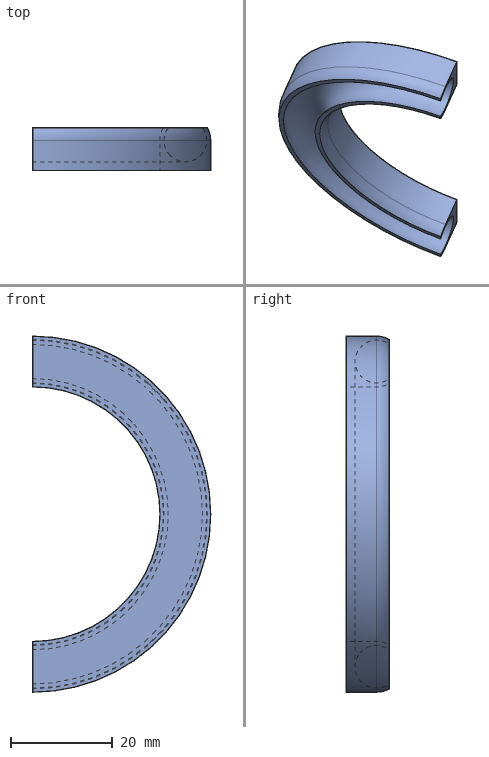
import cadquery as cq
import math

outer_radius = 35.0
band_width = 10.0
groove_radius = 4.2
back_depth = 5.95
lip_height = 2.5
sweep_angle = 180

section_radius = band_width / 2
centre_radius = outer_radius - section_radius
inner_radius = outer_radius - band_width

lip_half_width = math.sqrt(section_radius**2 - lip_height**2)
mid_angle = math.asin(lip_height / section_radius) / 2
mid_half_width = section_radius * math.cos(mid_angle)
mid_height = section_radius * math.sin(mid_angle)


def revolve_half(section):
    """Sweep an XY section from +X over to -X on the +Z side of the Y axis."""
    return section.revolve(sweep_angle, (0, 0, 0), (0, -1, 0))


band = revolve_half(
    cq.Workplane("XY")
    .moveTo(inner_radius, -back_depth)
    .lineTo(outer_radius, -back_depth)
    .lineTo(outer_radius, 0)
    .threePointArc(
        (centre_radius + mid_half_width, mid_height),
        (centre_radius + lip_half_width, lip_height),
    )
    .lineTo(centre_radius - lip_half_width, lip_height)
    .threePointArc(
        (centre_radius - mid_half_width, mid_height),
        (inner_radius, 0),
    )
    .close()
)

groove = revolve_half(cq.Workplane("XY").moveTo(centre_radius, 0).circle(groove_radius))

result = band.cut(groove).rotate((0, 0, 0), (0, 1, 0), 90)